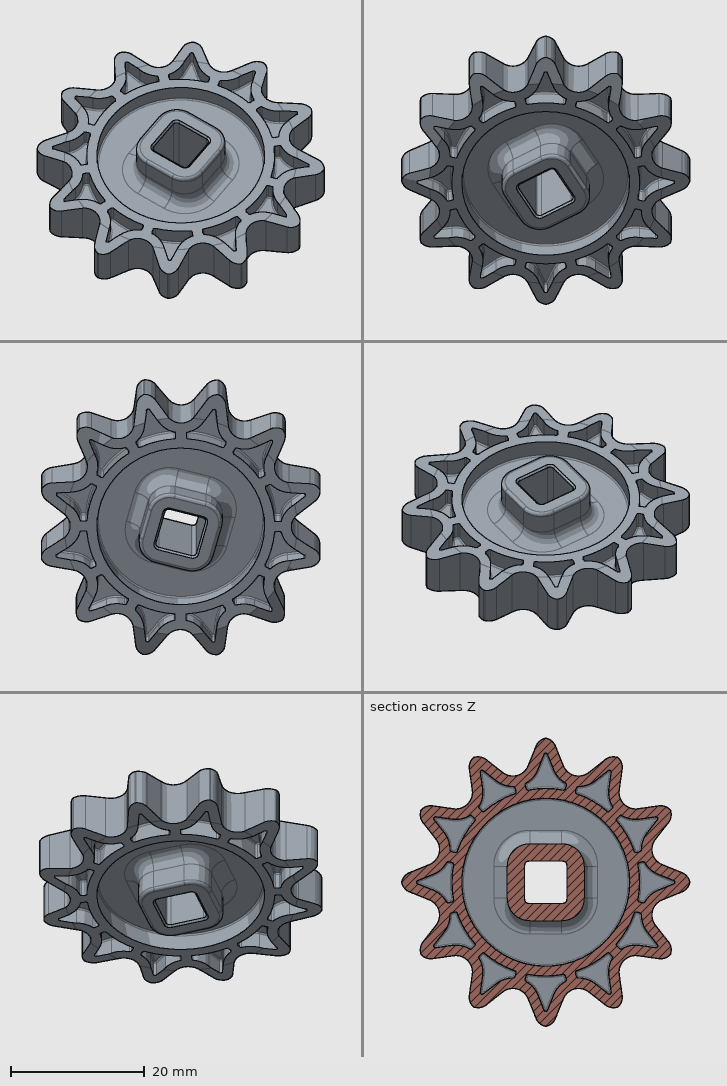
import cadquery as cq
import math

TOOTH_COUNT = 12
OUTER_RADIUS = 21.5
ROOT_RADIUS = 16.5
TIP_LAND_WIDTH = 0.17
TIP_ROUND = 1.95
TIP_ROUND_OFFSET = 0.35
GAP_ROUND = 2.45
RIM_HEIGHT = 7.6
BEVEL_START_RADIUS = 17.35
BEVEL_ANGLE = 10.0

WEB_THICKNESS = 1.9
RECESS_RADIUS = 12.5
FLOOR_FILLET = 0.2

TOOTH_WALL = 1.6
POCKET_INNER_RADIUS = 14.0
RIB_WIDTH = 1.6
POCKET_CORNER_FILLET = 0.25

HUB_HEIGHT = 13.33
HUB_SIDE = 11.3
HUB_CORNER_RADIUS = 3.25
HUB_EDGE_FILLET = 0.5
HUB_FLARE_RADIUS = 2.1
BORE_SIDE = 6.28
BORE_CORNER_RADIUS = 0.6
BORE_CHAMFER = 0.3
BORE_CHAMFER_ANGLE = 45.0

CLEARANCE = 0.45

PITCH = 2 * math.pi / TOOTH_COUNT
HALF_PITCH = PITCH / 2
HALF_LAND = TIP_LAND_WIDTH / 2
TIP_X = OUTER_RADIUS - math.sqrt(TIP_ROUND**2 - (TIP_ROUND_OFFSET + HALF_LAND) ** 2)
TIP_Y = -TIP_ROUND_OFFSET
GAP_CENTER = ROOT_RADIUS + GAP_ROUND
GAP_X = GAP_CENTER * math.cos(HALF_PITCH)
GAP_Y = GAP_CENTER * math.sin(HALF_PITCH)

center_distance = math.hypot(GAP_X - TIP_X, GAP_Y - TIP_Y)
center_direction = math.atan2(GAP_Y - TIP_Y, GAP_X - TIP_X)
FLANK_ANGLE = math.pi - center_direction - math.asin((TIP_ROUND + GAP_ROUND) / center_distance)
NORMAL_X = math.sin(FLANK_ANGLE)
NORMAL_Y = math.cos(FLANK_ANGLE)

WEB_TOP = WEB_THICKNESS / 2
RIM_TOP = RIM_HEIGHT / 2
RECESS_DEPTH = RIM_TOP - WEB_TOP


def turned(x, y, angle):
    """Turn a point about the part's axis."""
    cos_a = math.cos(angle)
    sin_a = math.sin(angle)
    return (x * cos_a - y * sin_a, x * sin_a + y * cos_a)


def mirrored(point):
    """Other-side partner of a point of a tooth along +X."""
    return (point[0], -point[1])


def both_faces(top_cutter):
    """A cutter for the upper face together with its mirror image below."""
    return top_cutter.union(top_cutter.mirror("XY"))


def make_toothed_blank():
    land_end = (OUTER_RADIUS, HALF_LAND)
    flank_outer = (TIP_X + TIP_ROUND * NORMAL_X, TIP_Y + TIP_ROUND * NORMAL_Y)
    land_direction = math.atan2(HALF_LAND - TIP_Y, OUTER_RADIUS - TIP_X)
    flank_direction = math.atan2(NORMAL_Y, NORMAL_X)
    tip_direction = (land_direction + flank_direction) / 2
    tip_middle = (
        TIP_X + TIP_ROUND * math.cos(tip_direction),
        TIP_Y + TIP_ROUND * math.sin(tip_direction),
    )
    flank_inner = (GAP_X - GAP_ROUND * NORMAL_X, GAP_Y - GAP_ROUND * NORMAL_Y)

    outline = cq.Workplane("XY", origin=(0, 0, -RIM_TOP)).moveTo(*mirrored(flank_inner))
    for tooth in range(TOOTH_COUNT):
        angle = tooth * PITCH
        outline = (
            outline.lineTo(*turned(*mirrored(flank_outer), angle))
            .threePointArc(turned(*mirrored(tip_middle), angle), turned(*mirrored(land_end), angle))
            .lineTo(*turned(*land_end, angle))
            .threePointArc(turned(*tip_middle, angle), turned(*flank_outer, angle))
            .lineTo(*turned(*flank_inner, angle))
            .threePointArc(
                turned(ROOT_RADIUS, 0, angle + HALF_PITCH),
                turned(*mirrored(flank_inner), angle + PITCH),
            )
        )
    return outline.close().extrude(RIM_HEIGHT)


def make_bevel_cutter():
    """Ring that slopes the tooth faces down toward the tips."""
    far_radius = OUTER_RADIUS + CLEARANCE
    drop = (far_radius - BEVEL_START_RADIUS) * math.tan(math.radians(BEVEL_ANGLE))
    section = [(BEVEL_START_RADIUS, RIM_TOP), (far_radius, RIM_TOP), (far_radius, RIM_TOP - drop)]
    ring = cq.Workplane("XZ").polyline(section).close().revolve(360, (0, 0), (0, 1))
    return both_faces(ring)


def make_recess_cutter():
    recess = cq.Workplane("XY", origin=(0, 0, WEB_TOP)).circle(RECESS_RADIUS).extrude(RECESS_DEPTH)
    return both_faces(recess.faces("<Z").edges().fillet(FLOOR_FILLET))


def make_pocket_cutter():
    """Pocket pair of the tooth along +X: concave sides at a constant wall from the tooth outline."""
    side_radius = GAP_ROUND + TOOTH_WALL
    half_rib = RIB_WIDTH / 2

    apex = (TIP_X + (TIP_ROUND - TOOTH_WALL + TIP_Y * NORMAL_Y) / NORMAL_X, 0)
    side_start = (GAP_X - side_radius * NORMAL_X, GAP_Y - side_radius * NORMAL_Y)
    rib_outer = turned(GAP_CENTER - math.sqrt(side_radius**2 - half_rib**2), -half_rib, HALF_PITCH)
    rib_inner = turned(math.sqrt(POCKET_INNER_RADIUS**2 - half_rib**2), -half_rib, HALF_PITCH)

    start_angle = math.atan2(side_start[1] - GAP_Y, side_start[0] - GAP_X)
    end_angle = math.atan2(rib_outer[1] - GAP_Y, rib_outer[0] - GAP_X)
    mid_angle = (start_angle + end_angle) / 2
    side_middle = (GAP_X + side_radius * math.cos(mid_angle), GAP_Y + side_radius * math.sin(mid_angle))

    pocket = (
        cq.Workplane("XY", origin=(0, 0, WEB_TOP))
        .moveTo(*apex)
        .lineTo(*side_start)
        .threePointArc(side_middle, rib_outer)
        .lineTo(*rib_inner)
        .threePointArc((POCKET_INNER_RADIUS, 0), mirrored(rib_inner))
        .lineTo(*mirrored(rib_outer))
        .threePointArc(mirrored(side_middle), mirrored(side_start))
        .close()
        .extrude(RECESS_DEPTH)
    )
    corners = [apex, rib_outer, rib_inner, mirrored(rib_outer), mirrored(rib_inner)]
    middle_height = WEB_TOP + RECESS_DEPTH / 2
    for x, y in corners:
        corner_edge = cq.NearestToPointSelector((x, y, middle_height))
        pocket = pocket.edges("|Z").edges(corner_edge).fillet(POCKET_CORNER_FILLET)
    pocket = pocket.faces("<Z").edges().fillet(FLOOR_FILLET)
    return both_faces(pocket)


def make_square_prism(side, corner_radius):
    return cq.Workplane("XY").box(side, side, HUB_HEIGHT).edges("|Z").fillet(corner_radius)


def make_hub():
    """Square hub on a round piece of the web, with flared feet on both sides."""
    prism = make_square_prism(HUB_SIDE, HUB_CORNER_RADIUS)
    prism = prism.faces("|Z").edges().fillet(HUB_EDGE_FILLET)
    web_radius = RECESS_RADIUS - 2 * FLOOR_FILLET
    web = cq.Workplane("XY", origin=(0, 0, -WEB_TOP)).circle(web_radius).extrude(WEB_THICKNESS)

    reach = HUB_SIDE / 2 + CLEARANCE
    seam_top = WEB_TOP + CLEARANCE
    low_corner = (-reach, -reach, -seam_top)
    high_corner = (reach, reach, seam_top)
    seam_box = cq.selectors.BoxSelector(low_corner, high_corner, boundingbox=True)
    return web.union(prism).edges(seam_box).fillet(HUB_FLARE_RADIUS)


def make_bore_cutter():
    """Square through hole with widened mouths."""
    bore = make_square_prism(BORE_SIDE, BORE_CORNER_RADIUS)
    mouth = (
        make_square_prism(BORE_SIDE + 2 * BORE_CHAMFER, BORE_CORNER_RADIUS + BORE_CHAMFER)
        .faces(">Z")
        .wires()
        .toPending()
        .workplane()
        .extrude(-BORE_CHAMFER, combine=False, taper=BORE_CHAMFER_ANGLE)
    )
    return bore.union(both_faces(mouth))


result = make_toothed_blank().cut(make_bevel_cutter()).cut(make_recess_cutter())

pocket_cutter = make_pocket_cutter()
for tooth_index in range(TOOTH_COUNT):
    result = result.cut(pocket_cutter.rotate((0, 0, 0), (0, 0, 1), tooth_index * math.degrees(PITCH)))

result = result.union(make_hub()).cut(make_bore_cutter())